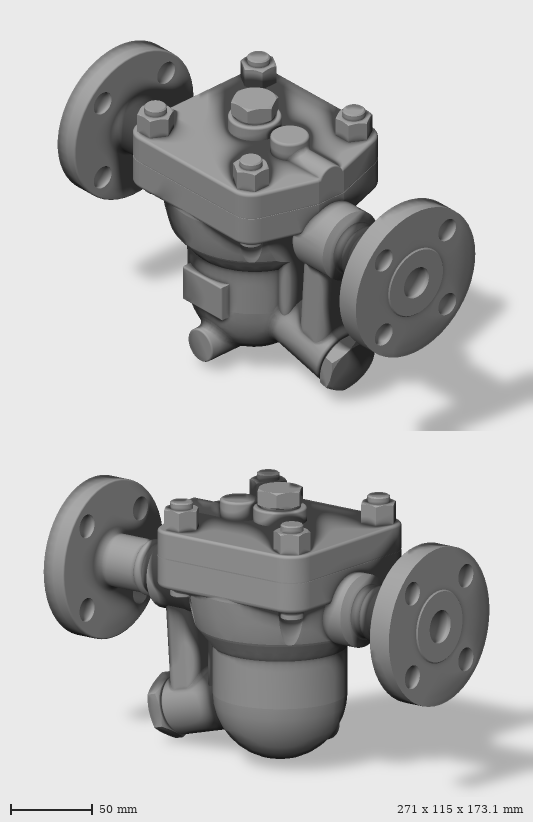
import cadquery as cq
import math


inlet_face_x = -125.0
outlet_face_x = inlet_face_x + 271
flange_radius = 100.0 / 2
flange_rim_fillet = 1.0
raised_face_radius = 46 / 2
raised_face_taper = 0.8
raised_face_height = 0.8
flange_back = 16.3
flange_hub_fillet = 3.5
bolt_hole_diameter = 15.0
bolt_hole_pitch = 53.0
pipe_radius = 33.0 / 2
pipe_end = 44.7
bead_radius = 17.5
bead_end = 50.7
neck_radius = 32.0 / 2
neck_end = 56.5
boss_radius = 46 / 2
boss_cone_radius = 17.3
boss_cone_end = 60.0
boss_end_fillet = 3.5
port_bore_diameter = 21.0
port_bore_depth = boss_cone_end

cover_half_width = 57.5
cover_left_x = -57.0
cover_shoulder_x = 54.0
cover_nose_x = 69.5
cover_nose_half_width = 10.5
cover_corner_radius = 14.4
cover_top_z = 44.0
cover_bottom_z = 7.0
cover_top_fillet = 2.0
cover_bottom_fillet = 3.0
seam_z = 26.8
seam_height = 0.8
seam_depth = 0.3

stud_offset = 43.0
stud_diameter = 14.0
stud_top_z = 61.0
stud_bottom_z = 0.8
stud_chamfer = 0.8
nut_across_flats = 20.0
nut_height = 12.7
nut_clearance_radius = 9.0

riser_x = 31.7
riser_radius = 24.0 / 2
riser_top_z = 55.5
riser_fillet = 1.5
ridge_radius = 20.0 / 2
ridge_top_z = 49.3
ridge_end_fillet = 1.0
ridge_root_fillet = 2.2

bowl_radius = 41.5
dome_center_z = -62.3
cone_bottom_z = -32.0
cone_top_radius = 51.2
cone_top_z = -20.0
shoulder_radius = 52.3
shoulder_z = -18.5
shoulder_mid_radius = 55.3
shoulder_mid_z = -7.0
bowl_top_radius = 57.5

window_left_x = 46.0
window_right_x = 57.0
duct_half_depth = 15.7
rib_corner_radius = 4.0
leg_width = 22.5
leg_corner_radius = 6.8
leg_top_x = 70.2
leg_tilt = 4
leg_length = 76.0

arm_tilt = 15
arm_radius = 38 / 2
arm_length = 80.5
arm_end_fillet = 1.5
arm_root_fillet = 5.5
leg_root_fillet = 2.2
cap_collar_radius = 32.0 / 2
cap_hex_start = 82.0
cap_hex_end = 91.3
cap_across_flats = 36.0

drain_z = -91.0
drain_radius = 22.0 / 2
drain_face_y = -45.8
drain_fillet = 1.0
drain_root_fillet = 4.0
plate_width = 35.2
plate_height = 23.3
plate_center_z = -54.5
plate_face_y = -44.2
plate_fillet = 1.0

plug_collar_radius = 33.0 / 2
plug_collar_bottom_z = 47.0
plug_collar_top_z = 55.8
plug_collar_fillet = 1.4
plug_hex_bottom_z = 57.2
plug_hex_top_z = 67.5
plug_across_flats = 26.0
plug_neck_radius = 12.7

meeting_tolerance = 0.003

chamfer_slope = math.tan(math.radians(30))


def hex_prism(across_flats, height, chamfer_bottom):
    """Hexagon on z = 0 with corners on X and corner chamfers on its top, and its bottom on request."""
    corner_radius = across_flats / math.sqrt(3)
    flat_radius = across_flats / 2
    drop = (corner_radius - flat_radius) * chamfer_slope
    prism = cq.Workplane("XY").polygon(6, 2 * corner_radius).extrude(height)
    outline = [(0, 0)]
    if chamfer_bottom:
        outline += [(flat_radius, 0), (corner_radius, drop)]
    else:
        outline += [(corner_radius, 0)]
    outline += [(corner_radius, height - drop), (flat_radius, height), (0, height)]
    envelope = cq.Workplane("XZ").polyline(outline).close().revolve(360, (0, 0), (0, 1))
    return prism.intersect(envelope)


def blended_union(base, added, radius):
    """Union with a fillet along the edges where the two shapes meet."""
    joined = base.union(added)
    base_skin = cq.Compound.makeCompound(base.faces().vals())
    added_skin = cq.Compound.makeCompound(added.faces().vals())
    meeting_edges = []
    for edge in joined.edges().vals():
        middle = cq.Vertex.makeVertex(*edge.positionAt(0.5).toTuple())
        if max(middle.distance(base_skin), middle.distance(added_skin)) < meeting_tolerance:
            meeting_edges.append(edge)
    return joined.newObject(meeting_edges).fillet(radius)


def make_port(face_x, inward, inner_x):
    """Flange, pipe, weld bead and boss on the X axis, running from face_x to inner_x."""
    def at(distance):
        return face_x + inward * distance

    bead_middle = (pipe_end + 2 * bead_end) / 3
    neck_fillet = boss_cone_radius - neck_radius
    neck_blend = neck_fillet * (1 - math.sqrt(0.5))
    boss_blend = boss_end_fillet * (1 - math.sqrt(0.5))
    hub_radius = pipe_radius + flange_hub_fillet
    hub_blend = flange_hub_fillet * (1 - math.sqrt(0.5))
    rim_blend = flange_rim_fillet * (1 - math.sqrt(0.5))
    port = (
        cq.Workplane("XY")
        .moveTo(at(0), 0)
        .lineTo(at(0), raised_face_radius - raised_face_taper)
        .lineTo(at(raised_face_height), raised_face_radius)
        .lineTo(at(raised_face_height), flange_radius)
        .lineTo(at(flange_back - flange_rim_fillet), flange_radius)
        .threePointArc((at(flange_back - rim_blend), flange_radius - rim_blend),
                       (at(flange_back), flange_radius - flange_rim_fillet))
        .lineTo(at(flange_back), hub_radius)
        .threePointArc((at(flange_back + hub_blend), pipe_radius + hub_blend),
                       (at(flange_back + flange_hub_fillet), pipe_radius))
        .lineTo(at(pipe_end), pipe_radius)
        .threePointArc((at(bead_middle), bead_radius), (at(bead_end), neck_radius))
        .lineTo(at(neck_end - neck_fillet), neck_radius)
        .threePointArc((at(neck_end - neck_blend), neck_radius + neck_blend),
                       (at(neck_end), boss_cone_radius))
        .lineTo(at(boss_cone_end), boss_radius)
        .lineTo(inner_x - inward * boss_end_fillet, boss_radius)
        .threePointArc((inner_x - inward * boss_blend, boss_radius - boss_blend),
                       (inner_x, boss_radius - boss_end_fillet))
        .lineTo(inner_x, 0)
        .close()
        .revolve(360, (0, 0), (1, 0))
    )
    bolt_holes = (
        cq.Workplane("YZ", origin=(face_x, 0, 0))
        .rect(bolt_hole_pitch, bolt_hole_pitch, forConstruction=True)
        .vertices()
        .circle(bolt_hole_diameter / 2)
        .extrude(inward * flange_back)
    )
    return port.cut(bolt_holes)


def make_port_bore(face_x, inward):
    return (
        cq.Workplane("YZ", origin=(face_x, 0, 0))
        .circle(port_bore_diameter / 2)
        .extrude(inward * port_bore_depth)
    )


def cover_slab(bottom_z, height):
    """Cover outline: a rounded square with a tapering nose towards +X."""
    return (
        cq.Workplane("XY", origin=(0, 0, bottom_z))
        .polyline([
            (cover_left_x, -cover_half_width),
            (cover_shoulder_x, -cover_half_width),
            (cover_nose_x, -cover_nose_half_width),
            (cover_nose_x, cover_nose_half_width),
            (cover_shoulder_x, cover_half_width),
            (cover_left_x, cover_half_width),
        ])
        .close()
        .extrude(height)
        .edges("|Z and (not >X)")
        .fillet(cover_corner_radius)
    )


def make_cover():
    cover = cover_slab(cover_bottom_z, cover_top_z - cover_bottom_z)
    cover = cover.faces(">Z").edges().fillet(cover_top_fillet)
    cover = cover.faces("<Z").edges().fillet(cover_bottom_fillet)
    seam = cover_slab(seam_z - seam_height / 2, seam_height)
    seam_core = (
        seam.faces(">Z").wires().toPending()
        .offset2D(-seam_depth)
        .extrude(-seam_height, combine=False)
    )
    cover = cover.cut(seam.cut(seam_core))

    ridge = (
        cq.Workplane("YZ", origin=(riser_x, 0, ridge_top_z - ridge_radius))
        .circle(ridge_radius)
        .extrude(cover_nose_x - riser_x)
        .faces(">X").edges().fillet(ridge_end_fillet)
    )
    riser = (
        cq.Workplane("XY", origin=(riser_x, 0, seam_z))
        .circle(riser_radius)
        .extrude(riser_top_z - seam_z)
        .faces(">Z").edges().fillet(riser_fillet)
    )
    return cover.union(blended_union(ridge, riser, ridge_root_fillet))


def make_bolting(turn):
    """Stud with its nut on the bowl axis; the nut is turned by the given angle."""
    stud = (
        cq.Workplane("XY", origin=(0, 0, stud_bottom_z))
        .circle(stud_diameter / 2)
        .extrude(stud_top_z - stud_bottom_z)
        .faces("<Z or >Z").edges().chamfer(stud_chamfer)
    )
    nut = hex_prism(nut_across_flats, nut_height, False)
    nut = nut.rotate((0, 0, 0), (0, 0, 1), turn).translate((0, 0, cover_top_z))
    return stud.union(nut)


def make_bowl():
    bowl = (
        cq.Workplane("XZ")
        .moveTo(0, dome_center_z - bowl_radius)
        .threePointArc((bowl_radius * math.sqrt(0.5), dome_center_z - bowl_radius * math.sqrt(0.5)),
                       (bowl_radius, dome_center_z))
        .lineTo(bowl_radius, cone_bottom_z)
        .lineTo(cone_top_radius, cone_top_z)
        .lineTo(shoulder_radius, shoulder_z)
        .threePointArc((shoulder_mid_radius, shoulder_mid_z), (bowl_top_radius, cover_bottom_z))
        .lineTo(bowl_top_radius, cover_bottom_z + cover_bottom_fillet)
        .lineTo(0, cover_bottom_z + cover_bottom_fillet)
        .close()
        .revolve(360, (0, 0), (0, 1))
    )
    scallops = (
        cq.Workplane("XY", origin=(0, 0, cone_bottom_z))
        .rect(2 * stud_offset, 2 * stud_offset, forConstruction=True)
        .vertices()
        .circle(nut_clearance_radius)
        .extrude(cover_bottom_z - cone_bottom_z)
    )
    window = cq.Workplane("XY").box(
        bowl_top_radius, 2 * bowl_top_radius, cover_bottom_z - cone_bottom_z, centered=(False, True, False)
    ).translate((window_left_x, 0, cone_bottom_z))
    return bowl.cut(scallops).cut(window)


def make_rib():
    """Upright rib between the cover and the strainer arm."""
    bottom_z = dome_center_z - window_left_x * math.tan(math.radians(arm_tilt))
    return (
        cq.Workplane("XY", origin=(0, 0, bottom_z))
        .center(window_left_x / 2, 0)
        .rect(window_left_x, 2 * duct_half_depth)
        .extrude(cover_bottom_z - bottom_z)
        .edges("|Z and >X").fillet(rib_corner_radius)
    )


def make_leg():
    return (
        cq.Workplane("XY")
        .rect(leg_width, 2 * duct_half_depth)
        .extrude(-leg_length)
        .edges("|Z").fillet(leg_corner_radius)
        .rotate((0, 0, 0), (0, 1, 0), leg_tilt)
        .translate((leg_top_x, 0, 0))
    )


def make_arm():
    """Strainer arm with its hex cap, built along Z and then tilted below the +X axis."""
    arm = cq.Workplane("XY").circle(arm_radius).extrude(arm_length)
    arm = arm.faces(">Z").edges().fillet(arm_end_fillet)
    collar = cq.Workplane("XY").circle(cap_collar_radius).extrude(cap_hex_start)
    cap = hex_prism(cap_across_flats, cap_hex_end - cap_hex_start, True).translate((0, 0, cap_hex_start))
    arm = arm.union(collar).union(cap)
    return arm.rotate((0, 0, 0), (0, 1, 0), 90 + arm_tilt).translate((0, 0, dome_center_z))


def make_drain():
    return (
        cq.Workplane("XZ", origin=(0, 0, drain_z))
        .circle(drain_radius)
        .extrude(-drain_face_y)
        .faces("<Y").edges().fillet(drain_fillet)
    )


def make_plate():
    return (
        cq.Workplane("XZ", origin=(0, 0, plate_center_z))
        .rect(plate_width, plate_height)
        .extrude(-plate_face_y)
        .faces("<Y").edges().fillet(plate_fillet)
    )


def make_housing():
    housing = blended_union(make_bowl(), make_drain(), drain_root_fillet)
    housing = blended_union(housing, make_arm(), arm_root_fillet)
    housing = housing.union(make_rib())
    housing = blended_union(housing, make_leg(), leg_root_fillet)
    housing = housing.union(make_cover())
    housing = housing.union(make_port(inlet_face_x, 1, 0))
    housing = housing.union(make_port(outlet_face_x, -1, window_right_x))
    housing = housing.union(make_plate())
    for side_x in (-1, 1):
        for side_y in (-1, 1):
            turn = 0 if side_x == side_y else 90
            bolting = make_bolting(turn).translate((side_x * stud_offset, side_y * stud_offset, 0))
            housing = housing.union(bolting)
    return housing.cut(make_port_bore(inlet_face_x, 1)).cut(make_port_bore(outlet_face_x, -1))


def make_plug():
    collar = (
        cq.Workplane("XY", origin=(0, 0, plug_collar_bottom_z))
        .circle(plug_collar_radius)
        .extrude(plug_collar_top_z - plug_collar_bottom_z)
        .faces(">Z").edges().fillet(plug_collar_fillet)
    )
    neck = (
        cq.Workplane("XY", origin=(0, 0, plug_collar_bottom_z))
        .circle(plug_neck_radius)
        .extrude(plug_hex_bottom_z - plug_collar_bottom_z)
    )
    head = hex_prism(plug_across_flats, plug_hex_top_z - plug_hex_bottom_z, True)
    return collar.union(neck).union(head.translate((0, 0, plug_hex_bottom_z)))


housing = make_housing()
plug = make_plug()
result = cq.Compound.makeCompound([housing.val(), plug.val()])